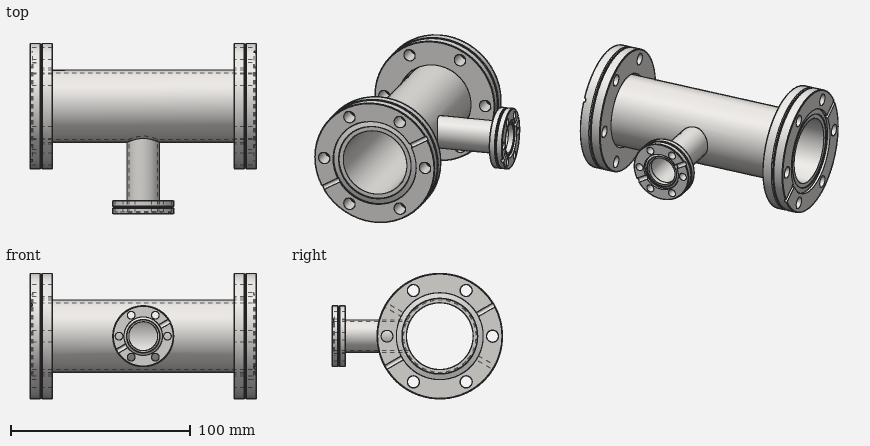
import cadquery as cq
run_length = 126.0
overall_depth = 95.0

run_outer_radius = 20.2
run_bore_radius = 18.5
branch_outer_radius = 9.1
branch_bore_radius = 8.1

ring_radius = 69.9 / 2
ring_thickness = 12.5
ring_back_hole_radius = 21.2
ferrule_radius = 24.2
ferrule_back_depth = ring_thickness / 2
run_knife_radius = 21.2
ring_bolt_circle_radius = 29.4
ring_bolt_hole_radius = 3.3
ring_rim_groove_width = 1.6

branch_flange_radius = 17.0
branch_flange_thickness = 7.5
branch_recess_radius = 10.7
branch_knife_radius = 9.3
branch_socket_depth = 3.5
branch_bolt_circle_radius = 13.5
branch_bolt_hole_radius = 2.1
branch_rim_groove_width = 1.3
branch_reach = overall_depth - ring_radius

bolt_count = 6
edge_chamfer = 0.4
recess_depth = 1.5
knife_depth = 0.6
seat_depth = 1.0
knife_taper = 0.3
rim_groove_depth = 0.4
rim_groove_floor = 0.4
leak_groove_radius = 1.3
leak_groove_angle = 30.0
leak_groove_overrun = 0.3


def revolve_profile(points):
    """Revolve (radius, height) points about the Z axis."""
    return cq.Workplane("XZ").polyline(points).close().revolve(360, (0, 0), (0, 1))


def rim_points(radius, thickness, groove_width):
    """Chamfered rim with a groove round its middle, from the back face to the sealing face."""
    middle = -thickness / 2
    return [
        (radius - edge_chamfer, -thickness),
        (radius, -thickness + edge_chamfer),
        (radius, middle - groove_width / 2),
        (radius - rim_groove_depth, middle - rim_groove_floor / 2),
        (radius - rim_groove_depth, middle + rim_groove_floor / 2),
        (radius, middle + groove_width / 2),
        (radius, -edge_chamfer),
        (radius - edge_chamfer, 0),
    ]


def knife_points(recess_radius, knife_radius, bore_radius):
    """Knife edge between the recess wall and the bore, from the outside inward."""
    return [
        (recess_radius, -recess_depth),
        (knife_radius, -knife_depth),
        (knife_radius - knife_taper, -seat_depth),
        (bore_radius, -seat_depth),
    ]


def cut_bolt_holes(body, thickness, circle_radius, hole_radius):
    """Ring of through holes for the bolts."""
    holes = (
        cq.Workplane("XY")
        .polarArray(circle_radius, 0, 360, bolt_count)
        .circle(hole_radius)
        .extrude(-thickness)
    )
    return body.cut(holes)


def cut_leak_grooves(body, recess_radius, rim_radius):
    """Two opposite round-bottomed grooves across the sealing face, from the recess to the rim."""
    for angle in (leak_groove_angle, leak_groove_angle + 180):
        groove = (
            cq.Workplane("YZ", origin=(recess_radius - leak_groove_overrun, 0, 0))
            .circle(leak_groove_radius)
            .extrude(rim_radius)
            .rotate((0, 0, 0), (1, 0, 0), 90)
            .rotate((0, 0, 0), (0, 0, 1), angle)
        )
        body = body.cut(groove)
    return body


def place_at_run_end(body, side):
    """Move a body with its sealing face at z = 0 to the -X (side -1) or +X (side +1) end."""
    turned = body.rotate((0, 0, 0), (1, 0, 0), 90).rotate((0, 0, 0), (0, 0, 1), side * 90)
    return turned.translate((side * run_length / 2, 0, 0))


def make_run_outside():
    """Run pipe and its two ferrules as one turned, still solid shape along X."""
    half_length = run_length / 2
    collar = [
        *knife_points(ferrule_radius, run_knife_radius, run_bore_radius),
        (0, -seat_depth),
        (0, -half_length),
        (run_outer_radius, -half_length),
        (run_outer_radius, -ferrule_back_depth),
        (ferrule_radius, -ferrule_back_depth),
    ]
    half = revolve_profile(collar)
    return place_at_run_end(half, -1).union(place_at_run_end(half, 1))


def make_tee_pipe():
    """Run pipe with a ferrule at each end and an open branch pipe."""
    branch_pipe_end = branch_reach - branch_flange_thickness + branch_socket_depth
    branch_plane = cq.Workplane("XZ")
    branch_pipe = branch_plane.circle(branch_outer_radius).extrude(branch_pipe_end)
    branch_bore = branch_plane.circle(branch_bore_radius).extrude(branch_pipe_end)
    run_bore = cq.Workplane("YZ").circle(run_bore_radius).extrude(run_length / 2, both=True)
    return make_run_outside().union(branch_pipe).cut(run_bore.clean()).cut(branch_bore)


def make_bolt_ring(side):
    """Loose ring that holds the ferrule at one end of the run pipe."""
    ring = revolve_profile([
        (ring_back_hole_radius, -ring_thickness),
        *rim_points(ring_radius, ring_thickness, ring_rim_groove_width),
        (ferrule_radius, 0),
        (ferrule_radius, -ferrule_back_depth),
        (ring_back_hole_radius, -ferrule_back_depth),
    ])
    ring = cut_bolt_holes(ring, ring_thickness, ring_bolt_circle_radius, ring_bolt_hole_radius)
    ring = cut_leak_grooves(ring, ferrule_radius, ring_radius)
    return place_at_run_end(ring, side)


def make_branch_flange():
    """Branch flange with its sealing face toward -Y."""
    socket_floor = -branch_flange_thickness + branch_socket_depth
    flange = revolve_profile([
        (branch_outer_radius, -branch_flange_thickness),
        *rim_points(branch_flange_radius, branch_flange_thickness, branch_rim_groove_width),
        (branch_recess_radius, 0),
        *knife_points(branch_recess_radius, branch_knife_radius, branch_bore_radius),
        (branch_bore_radius, socket_floor),
        (branch_outer_radius, socket_floor),
    ])
    flange = cut_bolt_holes(
        flange, branch_flange_thickness, branch_bolt_circle_radius, branch_bolt_hole_radius
    )
    flange = cut_leak_grooves(flange, branch_recess_radius, branch_flange_radius)
    return flange.rotate((0, 0, 0), (1, 0, 0), 90).translate((0, -branch_reach, 0))


tee_pipe = make_tee_pipe()
bolt_rings = [make_bolt_ring(side) for side in (-1, 1)]
branch_flange = make_branch_flange()

result = cq.Compound.makeCompound([
    tee_pipe.val(),
    *[ring.val() for ring in bolt_rings],
    branch_flange.val(),
])